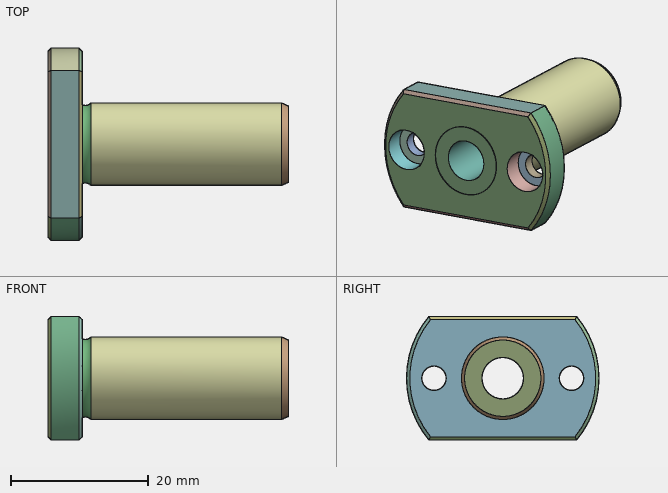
import cadquery as cq
import math

length = 35.0
flange_diameter = 28.0
flange_height = 18.0
flange_thickness = 5.0
flange_chamfer = 0.5

body_diameter = 12.0
end_chamfer_length = 1.0
end_chamfer_depth = 0.45
bore_diameter = 6.0

neck_length = 1.25
neck_deepest_offset = 0.45
neck_depth = 0.35

hole_diameter = 3.5
counterbore_diameter = 6.0
counterbore_depth = 3.15
hole_pitch = 20.0

recess_diameter = 10.3
recess_depth = 0.1


def cylinder_along_x(diameter, start, depth, y=0.0):
    """Solid cylinder from X = start to X = start + depth, with its axis at height Z = 0."""
    return cq.Workplane("YZ", origin=(start, y, 0)).circle(diameter / 2).extrude(depth)


def make_flange():
    """Round disc cut by two flats at top and bottom, chamfered around both faces."""
    disc = cylinder_along_x(flange_diameter, 0, flange_thickness)
    flats = cq.Workplane("XY").box(
        flange_thickness, flange_diameter, flange_height, centered=(False, True, True)
    )
    return disc.intersect(flats).faces("<X or >X").edges().chamfer(flange_chamfer)


def make_body():
    """Revolved bushing: concave relief neck, main cylinder and tapered free end."""
    body_radius = body_diameter / 2
    neck_radius = body_radius - neck_depth
    neck_deepest = flange_thickness + neck_deepest_offset
    body_start = flange_thickness + neck_length

    arc_run = neck_length - neck_deepest_offset
    arc_radius = (arc_run**2 + neck_depth**2) / (2 * neck_depth)
    rise_at_flange = arc_radius - math.sqrt(arc_radius**2 - neck_deepest_offset**2)
    flange_end_radius = neck_radius + rise_at_flange

    root = flange_thickness / 2
    profile = (
        cq.Workplane("XY")
        .moveTo(root, 0)
        .lineTo(root, flange_end_radius)
        .lineTo(flange_thickness, flange_end_radius)
        .threePointArc((neck_deepest, neck_radius), (body_start, body_radius))
        .lineTo(length - end_chamfer_length, body_radius)
        .lineTo(length, body_radius - end_chamfer_depth)
        .lineTo(length, 0)
        .close()
    )
    return profile.revolve(360, (0, 0, 0), (1, 0, 0))


def make_mounting_hole(y):
    """Cutter for one through hole with its counterbore on the flange face."""
    hole = cylinder_along_x(hole_diameter, 0, flange_thickness, y)
    counterbore = cylinder_along_x(counterbore_diameter, 0, counterbore_depth, y)
    return hole.union(counterbore)


result = make_flange().union(make_body())
result = result.cut(cylinder_along_x(bore_diameter, 0, length))
result = result.cut(cylinder_along_x(recess_diameter, 0, recess_depth))
for side in (-1, 1):
    result = result.cut(make_mounting_hole(side * hole_pitch / 2))